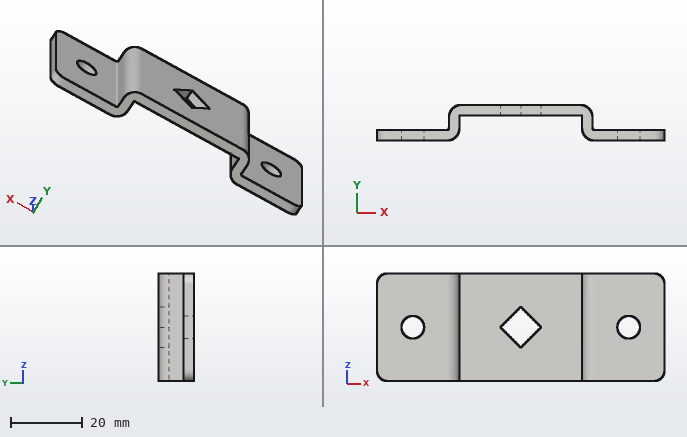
import cadquery as cq

length = 80.0
depth = 10.0
height = 30.0
thickness = height / 10

crown_length = 40.0
outer_bend_radius = 3.5
flange_inner_radius = 0.5

corner_radius = thickness
hole_diameter = 6.2
hole_edge_distance = 10.0
square_side = 8.0

half_length = length / 2
half_crown = crown_length / 2
half_recess = half_crown - thickness
front = -depth / 2
back = depth / 2
flange_back = front + thickness
crown_front = back - thickness


def strap():
    """Hat-shaped strip extruded over the full height, with rounded bends."""
    outline = [
        (-half_length, front),
        (-half_recess, front),
        (-half_recess, crown_front),
        (half_recess, crown_front),
        (half_recess, front),
        (half_length, front),
        (half_length, flange_back),
        (half_crown, flange_back),
        (half_crown, back),
        (-half_crown, back),
        (-half_crown, flange_back),
        (-half_length, flange_back),
    ]
    body = cq.Workplane("XY").polyline(outline).close().extrude(height / 2, both=True)
    bends = [
        (half_recess, front, outer_bend_radius),
        (half_crown, back, outer_bend_radius),
        (half_crown, flange_back, flange_inner_radius),
    ]
    for x, y, radius in bends:
        for side in (-1, 1):
            edge = cq.selectors.NearestToPointSelector((side * x, y, 0))
            body = body.edges("|Z").edges(edge).fillet(radius)
    return body


def round_flange_corners(body):
    return body.faces("<X or >X").edges("|Y").fillet(corner_radius)


def mounting_holes():
    hole_offset = half_length - hole_edge_distance
    return (
        cq.Workplane("XZ")
        .pushPoints([(-hole_offset, 0), (hole_offset, 0)])
        .circle(hole_diameter / 2)
        .extrude(depth, both=True)
    )


def diamond_opening():
    """Square opening turned onto its corner."""
    return (
        cq.Workplane("XZ")
        .transformed(rotate=(0, 0, 45))
        .rect(square_side, square_side)
        .extrude(depth, both=True)
    )


result = round_flange_corners(strap()).cut(mounting_holes()).cut(diamond_opening())